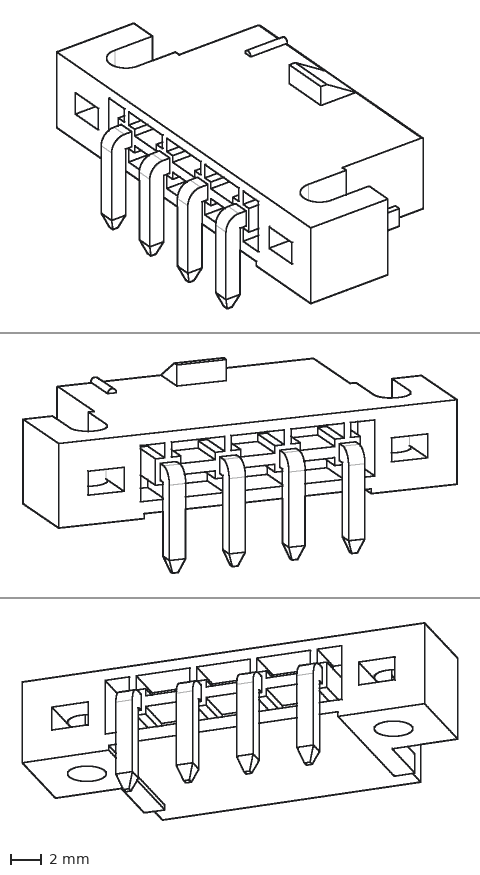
import cadquery as cq


flange_length = 28.0
flange_depth = 6.25
body_height = 5.75
shroud_length = 17.98
shroud_end = 12.8
foot_height = 0.35
foot_gap = 15.95
rail_outer_span = 18.85
rail_end = 10.53
rail_height = 1.35
lead_in_depth = 0.15

latch_width = 3.47
latch_height = 1.43
latch_flat = 0.48
latch_root = 0.28
latch_back = 9.83
rib_radius = 0.3

ear_hole_diameter = 2.52
ear_hole_spacing = 21.35
ear_hole_y = 3.15
nut_slot_bottom = 2.02
nut_slot_top = 3.65
channel_floor = nut_slot_top

recess_width = 16.45
recess_bottom = 1.18
recess_top = 4.98
recess_depth = 3.0
carrier_width = 1.8
carrier_bottom = 2.18
carrier_top = 3.98
web_width = 0.48
bar_bottom = 2.72
bar_top = 3.47

pin_count = 4
pin_pitch = 4.2
pin_size = 1.15
pin_top = 3.65
pin_outer_y = -1.62
pin_bend_radius = 1.05
pin_tip_z = -3.53
pin_tip_size = 0.4
pin_taper_length = 1.0

pin_row_length = (pin_count - 1) * pin_pitch
pin_positions = [i * pin_pitch - pin_row_length / 2 for i in range(pin_count)]
ear_positions = [-ear_hole_spacing / 2, ear_hole_spacing / 2]
lead_in_drop = lead_in_depth * latch_height / (shroud_end - lead_in_depth - latch_back - latch_flat)


def block(x_center, width, y_start, y_end, z_bottom, z_top):
    """Box centred on x_center and bounded by the given Y and Z limits."""
    box = cq.Workplane("XY").box(width, y_end - y_start, z_top - z_bottom, centered=(True, False, False))
    return box.translate((x_center, y_start, z_bottom))


def make_housing():
    """Flange and shroud with a clearance channel beneath, plus the side rails."""
    flange = block(0, flange_length, 0, flange_depth, 0, body_height)
    shroud = block(0, shroud_length, 0, shroud_end, foot_height, body_height)
    lead_in = (
        cq.Workplane("YZ")
        .moveTo(shroud_end - lead_in_depth, body_height)
        .lineTo(shroud_end, body_height)
        .lineTo(shroud_end, body_height - lead_in_drop)
        .close()
        .extrude(shroud_length / 2, both=True)
    )
    rails = block(0, rail_outer_span, 0, rail_end, 0, rail_height)
    foot_clearance = block(0, foot_gap, 0, shroud_end, 0, foot_height)
    return flange.union(shroud.cut(lead_in)).union(rails).cut(foot_clearance)


def make_latch():
    """Ramp rising from the mating end to a short flat and a vertical catch."""
    return (
        cq.Workplane("YZ")
        .moveTo(latch_back, body_height - latch_root)
        .lineTo(latch_back, body_height + latch_height)
        .lineTo(latch_back + latch_flat, body_height + latch_height)
        .lineTo(shroud_end - lead_in_depth, body_height)
        .lineTo(shroud_end - lead_in_depth, body_height - latch_root)
        .close()
        .extrude(latch_width / 2, both=True)
    )


def make_rib():
    """Half-round rib in line with the first pin."""
    return (
        cq.Workplane("XZ", origin=(pin_positions[0], shroud_end, body_height))
        .circle(rib_radius)
        .extrude(shroud_end - latch_back)
    )


def make_ear_cut(x):
    """Through hole with its rear nut slot and the open channel above it."""
    hole = (
        cq.Workplane("XY", origin=(x, ear_hole_y, 0))
        .circle(ear_hole_diameter / 2)
        .extrude(body_height)
    )
    nut_slot = block(x, ear_hole_diameter, 0, ear_hole_y, nut_slot_bottom, nut_slot_top)
    channel = block(x, ear_hole_diameter, ear_hole_y, flange_depth, channel_floor, body_height)
    return hole.union(nut_slot).union(channel)


def make_recess():
    """Volume removed from the rear face around the pin carriers, webs and bar."""
    recess = block(0, recess_width, 0, recess_depth, recess_bottom, recess_top)
    recess = recess.cut(block(0, pin_row_length, 0, recess_depth, bar_bottom, bar_top))
    for x in pin_positions:
        recess = recess.cut(block(x, carrier_width, 0, recess_depth, carrier_bottom, carrier_top))
        recess = recess.cut(block(x, web_width, 0, recess_depth, recess_bottom, recess_top))
    return recess


def make_pin(x):
    """Square pin bent downward, rounded on the outside and tapered at the tip."""
    inner_y = pin_outer_y + pin_size
    taper_z = pin_tip_z + pin_taper_length
    tail = block(x, pin_size, pin_outer_y, inner_y, taper_z, pin_top)
    tail = tail.edges("|X and >Z and <Y").fillet(pin_bend_radius)
    leg = block(x, pin_size, inner_y, recess_depth, pin_top - pin_size, pin_top)
    tip = (
        cq.Workplane("XY", origin=(x, pin_outer_y + pin_size / 2, taper_z))
        .rect(pin_size, pin_size)
        .workplane(offset=-pin_taper_length)
        .rect(pin_tip_size, pin_tip_size)
        .loft()
    )
    return tail.union(leg).union(tip)


result = make_housing().union(make_latch()).union(make_rib()).cut(make_recess())
for ear_x in ear_positions:
    result = result.cut(make_ear_cut(ear_x))
for pin_x in pin_positions:
    result = result.union(make_pin(pin_x))